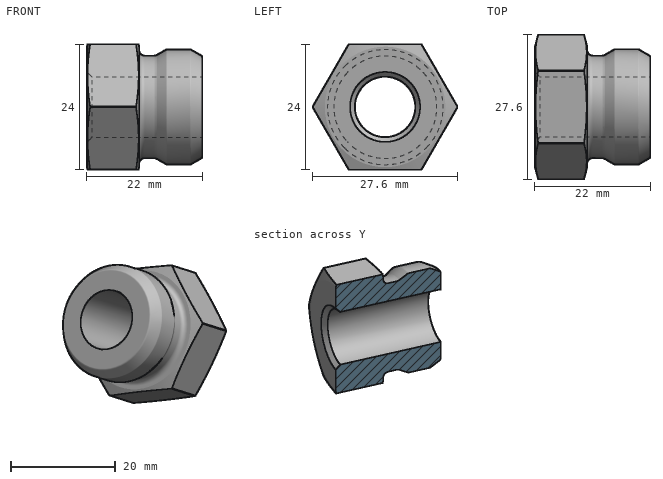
import cadquery as cq
import math

total_length = 22.0
bore_diameter = 11.5
bore_mouth_diameter = 13.37
bore_mouth_angle = 45

across_flats = 24.0
corner_diameter = 27.62
head_length = 10.0
head_face_diameter = 23.0
head_chamfer_angle = 15

body_diameter = 22.0
neck_diameter = 19.6
neck_end = 13.12
neck_fillet_radius = 1.0
cone_angle = 30
end_chamfer_start = 19.78
edge_fillet_radius = 0.4
station_tolerance = 0.03


def revolve_about_x(profile):
    return profile.close().revolve(360, (0, 0, 0), (1, 0, 0))


def make_head():
    """Hexagon with corners on +Y and -Y, chamfered conically at both ends."""
    hexagon = (
        cq.Workplane("YZ")
        .polygon(6, across_flats / math.cos(math.pi / 6))
        .extrude(head_length)
    )
    face_radius = head_face_diameter / 2
    corner_radius = corner_diameter / 2
    chamfer_length = (corner_radius - face_radius) * math.tan(math.radians(head_chamfer_angle))
    envelope = revolve_about_x(
        cq.Workplane("XY")
        .lineTo(0, face_radius)
        .lineTo(chamfer_length, corner_radius)
        .lineTo(head_length - chamfer_length, corner_radius)
        .lineTo(head_length, face_radius)
        .lineTo(head_length, 0)
    )
    return hexagon.intersect(envelope)


def round_edge_at(body, x, radius):
    """Fillet the circular edge of a turned body whose centre lies at x on the axis."""
    low_corner = (x - station_tolerance, -station_tolerance, -station_tolerance)
    high_corner = (x + station_tolerance, station_tolerance, station_tolerance)
    return body.edges(cq.selectors.BoxSelector(low_corner, high_corner)).fillet(radius)


def make_body():
    """Neck flaring into the head, cone up to the full diameter, chamfered end."""
    neck_radius = neck_diameter / 2
    body_radius = body_diameter / 2
    neck_start = head_length + neck_fillet_radius
    cone_slope = math.tan(math.radians(cone_angle))
    body_start = neck_end + (body_radius - neck_radius) / cone_slope
    end_radius = body_radius - (total_length - end_chamfer_start) * cone_slope
    body = revolve_about_x(
        cq.Workplane("XY")
        .moveTo(head_length, 0)
        .lineTo(head_length, neck_radius + neck_fillet_radius)
        .radiusArc((neck_start, neck_radius), -neck_fillet_radius)
        .lineTo(neck_end, neck_radius)
        .lineTo(body_start, body_radius)
        .lineTo(end_chamfer_start, body_radius)
        .lineTo(total_length, end_radius)
        .lineTo(total_length, 0)
    )
    body = round_edge_at(body, neck_end, neck_fillet_radius)
    for x in (body_start, end_chamfer_start, total_length):
        body = round_edge_at(body, x, edge_fillet_radius)
    return body


def make_bore():
    """Through bore with a countersunk mouth in the head face."""
    bore_radius = bore_diameter / 2
    mouth_radius = bore_mouth_diameter / 2
    mouth_depth = (mouth_radius - bore_radius) / math.tan(math.radians(bore_mouth_angle))
    return revolve_about_x(
        cq.Workplane("XY")
        .lineTo(0, mouth_radius)
        .lineTo(mouth_depth, bore_radius)
        .lineTo(total_length, bore_radius)
        .lineTo(total_length, 0)
    )


result = make_head().union(make_body()).cut(make_bore())